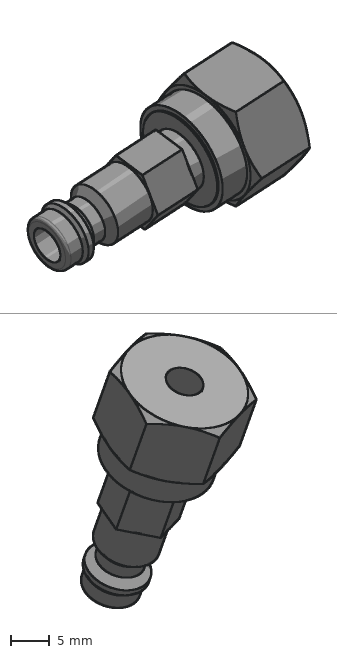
import cadquery as cq
import math

total_length = 38.0
nut_length = 10.0
nut_start = total_length - nut_length
collar_shoulder = 23.7
collar_start = 23.5
wrench_hex_end = 21.5
wrench_hex_start = 14.48
barrel_start = 8.35
groove_end = 7.2
groove_start = 5.2
bead_end = 4.05
bead_start = 3.15
tip_end = 2.6

bore_radius = 2.5
tip_radius = 4.0
tip_fillet = 0.5
barrel_radius = 4.5
groove_radius = 3.3
collar_radius = 7.83
collar_lip_radius = 7.03

nut_across_flats = 17.0
nut_corner_radius = nut_across_flats / math.sqrt(3)
nut_chamfer_radius = nut_across_flats / 2
nut_chamfer_angle = math.radians(30)
nut_chamfer_depth = (nut_corner_radius - nut_chamfer_radius) * math.tan(nut_chamfer_angle)

wrench_half_width = 5.47
wrench_top = 4.85
wrench_bottom = -4.6
wrench_corner_z = -0.25


def revolve_profile(points):
    """Revolve a closed (radius, y) outline around the Y axis."""
    return cq.Workplane("XY").polyline(points).close().revolve(360, (0, 0, 0), (0, 1, 0))


def prism(points, start, end):
    """Extrude a closed (x, z) outline along +Y from start to end."""
    plane = cq.Plane(origin=(0, start, 0), xDir=(1, 0, 0), normal=(0, -1, 0))
    return cq.Workplane(plane).polyline(points).close().extrude(start - end)


def make_turned_body():
    body = revolve_profile([
        (0, 0),
        (tip_radius, 0),
        (tip_radius, tip_end),
        (barrel_radius, bead_start),
        (barrel_radius, bead_end),
        (groove_radius, groove_start),
        (groove_radius, groove_end),
        (barrel_radius, barrel_start),
        (barrel_radius, collar_start),
        (collar_lip_radius, collar_start),
        (collar_lip_radius, collar_shoulder),
        (collar_radius, collar_shoulder),
        (collar_radius, nut_start),
        (0, nut_start),
    ])
    return body.faces("<Y").edges().fillet(tip_fillet)


def make_wrench_hex():
    slope = math.tan(math.radians(60))
    top_half = wrench_half_width - (wrench_top - wrench_corner_z) / slope
    bottom_half = wrench_half_width - (wrench_corner_z - wrench_bottom) / slope
    outline = [
        (wrench_half_width, wrench_corner_z),
        (top_half, wrench_top),
        (-top_half, wrench_top),
        (-wrench_half_width, wrench_corner_z),
        (-bottom_half, wrench_bottom),
        (bottom_half, wrench_bottom),
    ]
    return prism(outline, wrench_hex_start, wrench_hex_end)


def make_nut():
    corner_angles = [math.radians(60 * i) for i in range(6)]
    outline = [(nut_corner_radius * math.cos(a), nut_corner_radius * math.sin(a)) for a in corner_angles]
    chamfered_disc = revolve_profile([
        (0, nut_start),
        (nut_chamfer_radius, nut_start),
        (nut_corner_radius, nut_start + nut_chamfer_depth),
        (nut_corner_radius, total_length - nut_chamfer_depth),
        (nut_chamfer_radius, total_length),
        (0, total_length),
    ])
    return prism(outline, nut_start, total_length).intersect(chamfered_disc)


def make_bore():
    return revolve_profile([(0, 0), (bore_radius, 0), (bore_radius, total_length), (0, total_length)])


result = make_turned_body().union(make_wrench_hex()).union(make_nut()).cut(make_bore())